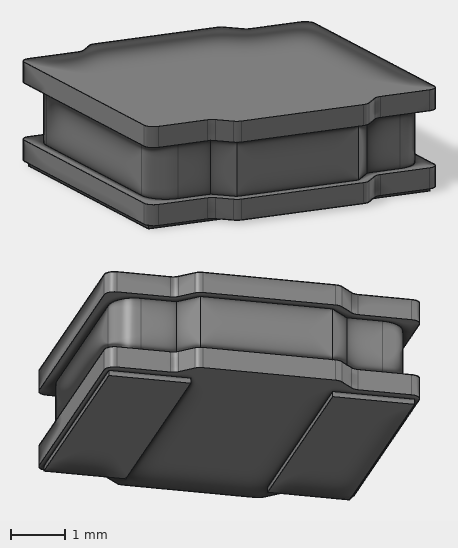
import cadquery as cq
import math

side = 6.0
height = 2.0

flange_thickness = 0.4
flange_radius = 0.2
core_inset = 0.205
core_corner_radius = 0.5

step_depth = 0.36
step_start = 1.345

pad_thickness = 0.1
pad_inner_y = 1.35
pad_outer_y = 2.91

half_side = side / 2
neck_half_width = half_side - step_depth
pad_length = 2 * (neck_half_width - flange_radius)
core_height = height - pad_thickness - 2 * flange_thickness


def stepped_plate(inset, thickness, bottom):
    """Square plate with sloped steps on -X and +X, walls moved inward by inset."""
    wide = half_side - inset
    narrow = neck_half_width - inset
    flat_end = step_start - inset * math.tan(math.pi / 8)
    slope_end = flat_end + step_depth
    quarter = [(wide, flat_end), (narrow, slope_end), (narrow, wide)]
    right = [(x, -y) for x, y in reversed(quarter)] + quarter
    left = [(-x, -y) for x, y in right]
    return (
        cq.Workplane("XY")
        .workplane(offset=bottom)
        .polyline(right + left)
        .close()
        .extrude(thickness)
    )


def flange(bottom):
    """Plate with every upright edge rounded."""
    return stepped_plate(0, flange_thickness, bottom).edges("|Z").fillet(flange_radius)


def core(bottom):
    """Inset plate with only its four outer corners rounded."""
    return (
        stepped_plate(core_inset, core_height, bottom)
        .edges("|Z and (<Y or >Y)")
        .fillet(core_corner_radius)
    )


def pads():
    """Pair of flat pads along the -Y and +Y sides."""
    pad_center_y = (pad_inner_y + pad_outer_y) / 2
    return (
        cq.Workplane("XY")
        .pushPoints([(0, -pad_center_y), (0, pad_center_y)])
        .rect(pad_length, pad_outer_y - pad_inner_y)
        .extrude(pad_thickness)
    )


core_bottom = pad_thickness + flange_thickness
lower_flange = flange(pad_thickness)
upper_flange = flange(core_bottom + core_height)
result = lower_flange.union(core(core_bottom)).union(upper_flange).union(pads())